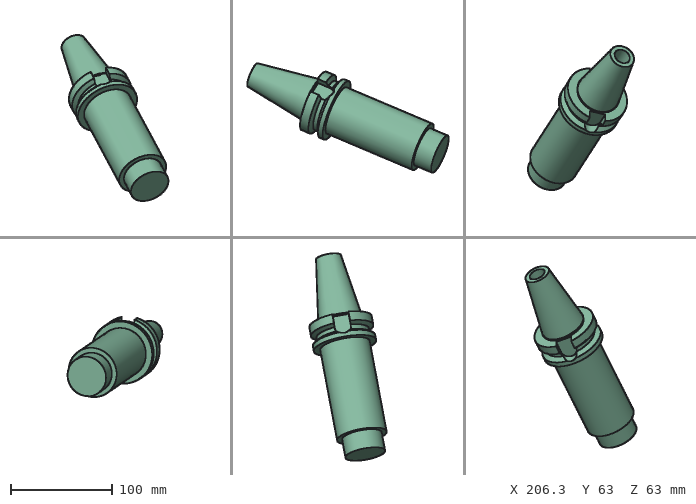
import cadquery as cq

total_length = 206.3
taper_length = 65.5
gauge_diameter = 44.4
taper_ratio = 7 / 24
neck_diameter = 43.1
neck_chamfer = 0.6

flange_diameter = 63.0
flange_start = 67.5
flange_end = 92.5
groove_diameter = 52.8
front_rim_width = 9.3
rear_rim_width = 5.2
groove_floor_start = 79.5
groove_floor_end = 84.0

body_diameter = 50.0
nose_diameter = 40.0
nose_length = 19.0

bore_diameter = 16.0
bore_depth = 31.0

slot_width = 16.0
slot_floor_height = 22.6
slot_end = 88.7


def make_turned_body():
    """Revolve the taper, grooved flange, body and nose in one profile."""
    small_radius = (gauge_diameter - taper_length * taper_ratio) / 2
    gauge_radius = gauge_diameter / 2
    neck_radius = neck_diameter / 2
    flange_radius = flange_diameter / 2
    groove_radius = groove_diameter / 2
    body_radius = body_diameter / 2
    nose_radius = nose_diameter / 2
    nose_start = total_length - nose_length
    profile = [
        (0, 0),
        (0, small_radius),
        (taper_length, gauge_radius),
        (taper_length + neck_chamfer, neck_radius),
        (flange_start, neck_radius),
        (flange_start, flange_radius),
        (flange_start + front_rim_width, flange_radius),
        (groove_floor_start, groove_radius),
        (groove_floor_end, groove_radius),
        (flange_end - rear_rim_width, flange_radius),
        (flange_end, flange_radius),
        (flange_end, body_radius),
        (nose_start, body_radius),
        (nose_start, nose_radius),
        (total_length, nose_radius),
        (total_length, 0),
    ]
    return cq.Workplane("XY").polyline(profile).close().revolve(360, (0, 0, 0), (1, 0, 0))


def make_bore():
    """Blind hole in the small end of the taper."""
    return cq.Workplane("YZ").circle(bore_diameter / 2).extrude(bore_depth)


def make_drive_slot():
    """Upper drive slot, open at the flange front with a round rear end."""
    half_width = slot_width / 2
    arc_start = slot_end - half_width
    return (
        cq.Workplane("XY", origin=(0, 0, slot_floor_height))
        .moveTo(flange_start, -half_width)
        .lineTo(arc_start, -half_width)
        .threePointArc((slot_end, 0), (arc_start, half_width))
        .lineTo(flange_start, half_width)
        .close()
        .extrude(flange_diameter / 2)
    )


upper_slot = make_drive_slot()
lower_slot = upper_slot.mirror("XY")
result = make_turned_body().cut(make_bore()).cut(upper_slot).cut(lower_slot)